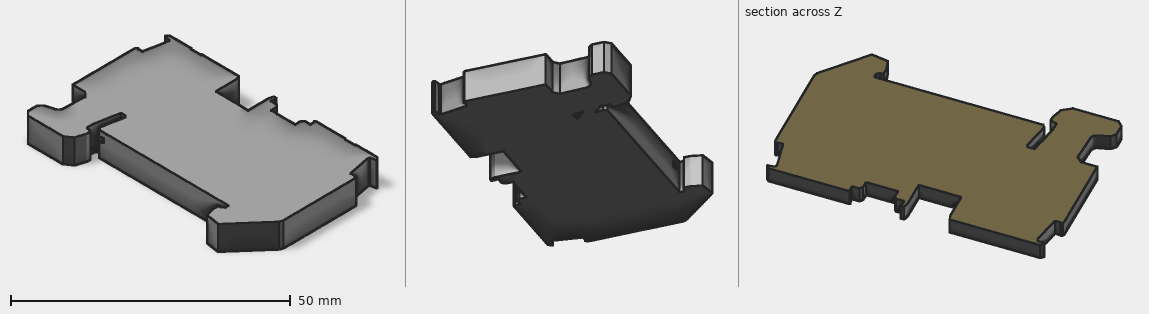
import cadquery as cq

LENGTH = 55.89
HEIGHT = 35.2
THICKNESS = 6.2

SHOULDER_Y = 28.35
LEFT_SIDE_BOTTOM_Y = 12.35
RAIL_SEAT_Y = 5.95
CLAMP_SLOT_TOP_Y = 12.35

NOTCH_LEFT_X = 19.55
NOTCH_RIGHT_X = 27.7
NOTCH_FLOOR_Y = 29.0
NOTCH_LEAD_IN = 0.3
NOTCH_LEAD_IN_HEIGHT = 1.1

MARKER_LEFT_X = 30.6
MARKER_RIGHT_X = 36.7
MARKER_FLOOR_Y = 31.9
MARKER_STEP_Y = 33.85
MARKER_CHAMFER_X = 0.45
MARKER_CHAMFER_Y = 0.6

RECESS_OFFSET = 8.45
RECESS_WIDTH = 2.6
RECESS_DEPTH = 0.2
RECESS_HEIGHT = 1.0

PEG_CENTERS_X = (13.5, 43.5)
PEG_BASE_WIDTH = 1.5
PEG_TIP_WIDTH = 0.9
PEG_DROP = 0.2
PEG_BOTTOM_Z = 3.85
PEG_HEIGHT = 1.0

WEB_THICKNESS = 0.9
WEB_LEDGE_X = 11.25


def mirrored(points):
    """Reflect points about the mid-length line and reverse their order."""
    return [(LENGTH - x, y) for x, y in reversed(points)]


def housing():
    """Extruded outline: head with lips, left clamp foot and right hook foot."""
    left_shoulder = [
        (0, 27.9),
        (0.1, 28.24),
        (0.4, 28.52),
        (0.6, SHOULDER_Y),
        (1.65, SHOULDER_Y),
        (2.73, 33.9),
        (2.6, 34.2),
        (1.2, 34.45),
        (1.15, 34.7),
        (1.7, HEIGHT),
    ]
    wide_notch = [
        (NOTCH_LEFT_X - NOTCH_LEAD_IN, HEIGHT),
        (NOTCH_LEFT_X, HEIGHT - NOTCH_LEAD_IN_HEIGHT),
        (NOTCH_LEFT_X, NOTCH_FLOOR_Y),
        (NOTCH_RIGHT_X, NOTCH_FLOOR_Y),
        (NOTCH_RIGHT_X, HEIGHT - NOTCH_LEAD_IN_HEIGHT),
        (NOTCH_RIGHT_X + NOTCH_LEAD_IN, HEIGHT),
    ]
    marker_seat = [
        (28.65, HEIGHT),
        (28.75, 34.9),
        (28.55, MARKER_STEP_Y),
        (MARKER_LEFT_X - MARKER_CHAMFER_X, MARKER_STEP_Y),
        (MARKER_LEFT_X, MARKER_STEP_Y - MARKER_CHAMFER_Y),
        (MARKER_LEFT_X, MARKER_FLOOR_Y),
        (MARKER_RIGHT_X, MARKER_FLOOR_Y),
        (MARKER_RIGHT_X, MARKER_STEP_Y - MARKER_CHAMFER_Y),
        (MARKER_RIGHT_X + MARKER_CHAMFER_X, MARKER_STEP_Y),
        (38.6, MARKER_STEP_Y),
        (38.6, 34.8),
        (38.4, 35.0),
        (38.55, HEIGHT),
    ]
    hook_foot = [
        (55.6, 8.9),
        (48.4, 0.7),
        (45.1, 1.2),
        (44.5, 3.25),
        (44.5, 4.6),
        (45.2, 4.75),
        (45.75, 5.2),
        (45.75, RAIL_SEAT_Y),
    ]
    clamp_slot = [
        (13.1, RAIL_SEAT_Y),
        (12.65, 6.6),
        (13.7, 12.05),
        (13.4, CLAMP_SLOT_TOP_Y),
        (12.2, CLAMP_SLOT_TOP_Y),
        (11.07, 6.5),
        (11.07, 4.9),
    ]
    clamp_foot = [
        (12.35, 4.5),
        (12.35, 3.55),
        (11.6, 1.2),
        (9.85, 0),
        (1, 0),
        (0, 1.0),
        (0, 3.35),
        (0.8, 4.25),
        (3.05, 4.9),
    ]
    outline = (
        left_shoulder
        + wide_notch
        + marker_seat
        + mirrored(left_shoulder)
        + [(LENGTH, 9.75)]
        + hook_foot
        + clamp_slot
        + clamp_foot
    )
    return (
        cq.Workplane("XY")
        .polyline(outline)
        .threePointArc((3.68, 5.35), (3.95, 6.05))
        .lineTo(4.18, 11.4)
        .lineTo(3.15, LEFT_SIDE_BOTTOM_Y)
        .lineTo(0, LEFT_SIDE_BOTTOM_Y)
        .close()
        .extrude(THICKNESS)
    )


def slot_web():
    """Slanted web across the clamp slot, flush with the bottom face, with a narrow ledge along the foot."""
    web_outline = [
        (10.5, 4.8),
        (WEB_LEDGE_X, 4.8),
        (WEB_LEDGE_X, 6.55),
        (14.0, 9.2),
        (14.0, 12.2),
        (10.5, 8.95),
    ]
    return (
        cq.Workplane("XY")
        .polyline(web_outline)
        .close()
        .extrude(WEB_THICKNESS)
    )


def peg(center_x):
    """Tapered peg hanging below the rail seat."""
    half_base = PEG_BASE_WIDTH / 2
    half_tip = PEG_TIP_WIDTH / 2
    return (
        cq.Workplane("XY", origin=(center_x, RAIL_SEAT_Y, PEG_BOTTOM_Z))
        .moveTo(-half_base, 0)
        .lineTo(-half_tip, -PEG_DROP)
        .lineTo(half_tip, -PEG_DROP)
        .lineTo(half_base, 0)
        .close()
        .extrude(PEG_HEIGHT)
    )


def recess(center_x):
    """Shallow rectangular cutter at the upper edge, below the top face."""
    return (
        cq.Workplane("XY", origin=(center_x, HEIGHT, THICKNESS - RECESS_HEIGHT))
        .rect(RECESS_WIDTH, 2 * RECESS_DEPTH)
        .extrude(RECESS_HEIGHT)
    )


result = housing().union(slot_web())

for peg_x in PEG_CENTERS_X:
    result = result.union(peg(peg_x))

for recess_x in (RECESS_OFFSET, LENGTH - RECESS_OFFSET):
    result = result.cut(recess(recess_x))